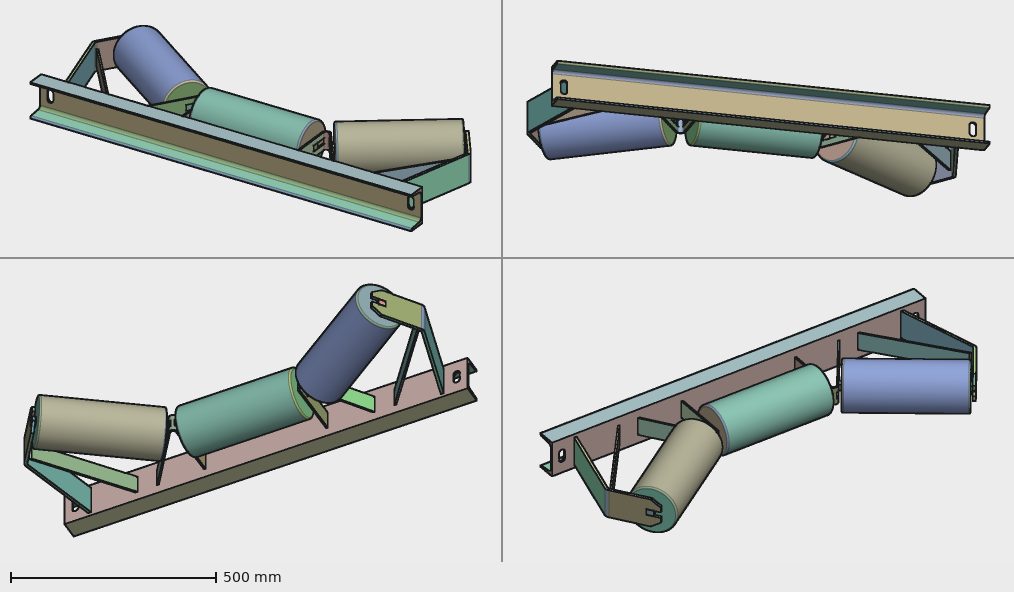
import cadquery as cq
import math


beam_length = 1100.0
beam_height = 100.0
beam_depth = 51.0
web_thickness = 6.0
flange_thickness = 8.2
flange_slope = 0.08
root_radius = 9.0
toe_radius = 5.0
slot_width = 18.0
slot_length = 36.0
slot_inset = 30.0

roller_diameter = 133.0
roller_length = 315.0
roller_edge_radius = 4.0
trough_angle = 35.0
centre_roller_y = 117.0
side_roller_x = 341.0
side_roller_y = 224.0

axle_width = 16.0
axle_depth = 19.0

inner_height = 50.0
inner_thickness = 4.0
inner_gap = 7.2
inner_bend_radius = 10.0
outer_height = 80.0
outer_thickness = 8.0
outer_gap = 5.0
outer_bend_radius = 13.0
outer_bend_y = 224.0
outer_leg_angle = 75.0
outer_tip_reach = 29.0
tip_chamfer_along = 26.0
tip_chamfer_across = 18.0

strut_height = 50.0
strut_thickness = 5.0
strut_angle = 51.8
strut_foot_x = 353.0

inner_face = roller_length / 2 + inner_gap
outer_face = roller_length / 2 + outer_gap
axle_length = 2 * (inner_face + inner_thickness)
slope = math.radians(trough_angle)
roller_axis = cq.Vector(math.cos(slope), -math.sin(slope))
roller_normal = cq.Vector(math.sin(slope), math.cos(slope))
left_roller_middle = cq.Vector(-side_roller_x, side_roller_y)


def left_roller_point(along, across):
    """Point in the frame of the left roller: along its axis and away from the beam."""
    return left_roller_middle + roller_axis * along + roller_normal * across


def flat_bar(outline, height):
    """Flat-bar body from a closed XY outline, centred on Z = 0."""
    return outline.extrude(height / 2, both=True)


def xy(point):
    return point.x, point.y


def make_beam():
    flange_middle = -beam_depth / 2
    outer_z = beam_height / 2

    def flange_inside(y):
        return outer_z - flange_thickness - flange_slope * (y - flange_middle)

    root_z = flange_inside(-web_thickness)
    toe_z = flange_inside(-beam_depth)
    profile = [
        (0, -outer_z),
        (0, outer_z),
        (-beam_depth, outer_z),
        (-beam_depth, toe_z),
        (-web_thickness, root_z),
        (-web_thickness, -root_z),
        (-beam_depth, -toe_z),
        (-beam_depth, -outer_z),
    ]
    beam = cq.Workplane("YZ").polyline(profile).close().extrude(beam_length / 2, both=True)

    root_edges = [cq.NearestToPointSelector((0, -web_thickness, z)) for z in (-root_z, root_z)]
    toe_edges = [cq.NearestToPointSelector((0, -beam_depth, z)) for z in (-toe_z, toe_z)]
    beam = beam.edges("|X").edges(root_edges[0] + root_edges[1]).fillet(root_radius)
    beam = beam.edges("|X").edges(toe_edges[0] + toe_edges[1]).fillet(toe_radius)
    slot_x = beam_length / 2 - slot_inset
    slots = (
        cq.Workplane("XZ")
        .pushPoints([(-slot_x, 0), (slot_x, 0)])
        .slot2D(slot_length, slot_width, 90)
        .extrude(beam_depth)
    )
    return beam.cut(slots)


def make_roller(middle_x, middle_y, angle):
    """Roller with its axle ends, turned by angle about Z."""
    end = cq.Workplane("YZ", origin=(-roller_length / 2, 0, 0))
    shell = end.circle(roller_diameter / 2).extrude(roller_length)
    shell = shell.edges("%CIRCLE").fillet(roller_edge_radius)
    axle = cq.Workplane("XY").box(axle_length, axle_depth, axle_width)
    roller = shell.union(axle)
    return roller.rotate((0, 0, 0), (0, 0, 1), angle).translate((middle_x, middle_y, 0))


def axle_slot(face, thickness, reach):
    """Cutter for an axle slot in a bar across a roller along X, open towards +Y."""
    bottom = -axle_depth / 2
    cutter = cq.Workplane("XY").box(thickness, reach - bottom, axle_width, centered=(False, False, True))
    return cutter.translate((face, bottom, 0))


def at_left_roller(body):
    """Move a body from a roller along X at the origin to the left roller."""
    return body.rotate((0, 0, 0), (0, 0, 1), -trough_angle).translate(left_roller_middle.toTuple())


def make_left_inner_bracket():
    """Bar bent over between the left and centre rollers: a sloping leg, a bend and an upright leg."""
    outer_radius = inner_bend_radius + inner_thickness / 2
    inner_radius = inner_bend_radius - inner_thickness / 2
    bend_x = -inner_face - outer_radius
    along = inner_face + outer_radius
    across = (bend_x - left_roller_middle.x - roller_axis.x * along) / roller_normal.x
    bend = left_roller_point(along, across)
    bisector = (cq.Vector(1, 0) - roller_axis).normalized()

    def foot(distance):
        """Where the sloping leg's face at this distance along the roller axis meets the beam."""
        return left_roller_point(distance, -left_roller_point(distance, 0).y / roller_normal.y)

    far_face = inner_face + inner_thickness
    bar = flat_bar(
        cq.Workplane("XY")
        .moveTo(*xy(foot(inner_face)))
        .lineTo(*xy(bend - roller_axis * outer_radius))
        .threePointArc(xy(bend + bisector * outer_radius), (bend.x + outer_radius, bend.y))
        .lineTo(-inner_face, 0)
        .lineTo(-far_face, 0)
        .lineTo(bend.x + inner_radius, bend.y)
        .threePointArc(xy(bend + bisector * inner_radius), xy(bend - roller_axis * inner_radius))
        .lineTo(*xy(foot(far_face)))
        .close(),
        inner_height,
    )
    reach = roller_diameter / 2
    sloping_slot = at_left_roller(axle_slot(inner_face, inner_thickness, reach))
    upright_slot = axle_slot(-far_face, inner_thickness, reach).translate((0, centre_roller_y, 0))
    return bar.cut(sloping_slot).cut(upright_slot)


def make_left_outer_bracket():
    """Bar with a leaning leg on the beam, bent to lie across the outer end of the left roller."""
    lean = math.radians(outer_leg_angle)
    leg_normal = cq.Vector(math.sin(lean), math.cos(lean))
    leg_direction = cq.Vector(-math.cos(lean), math.sin(lean))
    far_face = outer_face + outer_thickness
    centre_along = outer_bend_radius - outer_face - outer_thickness / 2
    centre_across = (outer_bend_y - left_roller_point(centre_along, 0).y) / roller_normal.y
    bend = left_roller_point(centre_along, centre_across)
    bisector = (leg_normal + roller_axis).normalized()
    outer_radius = outer_bend_radius + outer_thickness / 2
    inner_radius = outer_bend_radius - outer_thickness / 2

    def foot(radius):
        """Where the leg's face at this distance from the bend centre meets the beam."""
        top = bend - leg_normal * radius
        return top - leg_direction * (top.y / leg_direction.y)

    bar = flat_bar(
        cq.Workplane("XY")
        .moveTo(*xy(foot(outer_radius)))
        .lineTo(*xy(bend - leg_normal * outer_radius))
        .threePointArc(xy(bend - bisector * outer_radius), xy(bend - roller_axis * outer_radius))
        .lineTo(*xy(left_roller_point(-far_face, outer_tip_reach)))
        .lineTo(*xy(left_roller_point(-outer_face, outer_tip_reach)))
        .lineTo(*xy(bend - roller_axis * inner_radius))
        .threePointArc(xy(bend - bisector * inner_radius), xy(bend - leg_normal * inner_radius))
        .lineTo(*xy(foot(inner_radius)))
        .close(),
        outer_height,
    )
    half_height = outer_height / 2
    corner = (
        cq.Workplane("YZ", origin=(-far_face, 0, 0))
        .moveTo(outer_tip_reach, half_height)
        .lineTo(outer_tip_reach - tip_chamfer_along, half_height)
        .lineTo(outer_tip_reach, half_height - tip_chamfer_across)
        .close()
        .extrude(outer_thickness)
    )
    for cutter in (corner, corner.mirror("XY"), axle_slot(-far_face, outer_thickness, outer_tip_reach)):
        bar = bar.cut(at_left_roller(cutter))
    return bar


def make_left_strut(outer_bracket):
    """Straight bar from the beam to the bend of the left outer bracket, trimmed to the bracket."""
    lean = math.radians(strut_angle)
    half_foot = strut_thickness / 2 / math.sin(lean)
    foot_x = -strut_foot_x
    run = outer_bend_y / math.tan(lean)
    bar = flat_bar(
        cq.Workplane("XY")
        .moveTo(foot_x - half_foot, 0)
        .lineTo(foot_x + half_foot, 0)
        .lineTo(foot_x + half_foot - run, outer_bend_y)
        .lineTo(foot_x - half_foot - run, outer_bend_y)
        .close(),
        strut_height,
    )
    return bar.cut(outer_bracket)


beam = make_beam()
rollers = [
    make_roller(0, centre_roller_y, 0),
    make_roller(-side_roller_x, side_roller_y, -trough_angle),
    make_roller(side_roller_x, side_roller_y, trough_angle),
]
left_inner_bracket = make_left_inner_bracket()
left_outer_bracket = make_left_outer_bracket()
left_strut = make_left_strut(left_outer_bracket)

bodies = [beam, *rollers]
for left_body in (left_inner_bracket, left_outer_bracket, left_strut):
    right_body = left_body.mirror("YZ")
    bodies += [left_body, right_body]

result = cq.Compound.makeCompound([body.val() for body in bodies])